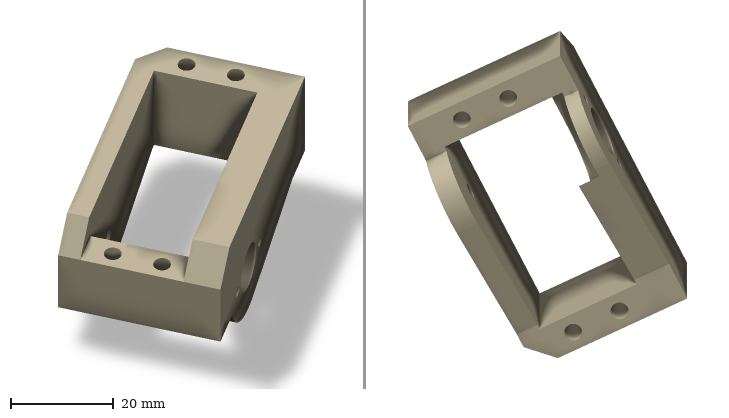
import math
import cadquery as cq


width = 33.0
length = 56.0
frame_height = 20.0
left_wall = 4.5
right_wall = 7.5
end_wall = 7.0
front_chamfer = 6.0
corner_chamfer = 5.0
inner_right = width - right_wall
opening_width = inner_right - left_wall
front_wall_height = frame_height - front_chamfer

screw_diameter = 3.5
screw_spacing = 10.0
first_screw_x = 10.0

ear_radius = 11.05
pivot_z = 3.0
pivot_y = 18.6
ear_rear_y = 48.0
pin_diameter = 3.5

pocket_radius = 11.2
pocket_depth = 4.5
pocket_floor_x = inner_right + pocket_depth
hub_diameter = 10.0
horn_screw_diameter = 2.0
horn_screw_offset = 7.4


def x_cylinder(diameter, start_x, depth, y, z):
    """Cylinder along +X starting at start_x."""
    return cq.Workplane("YZ", origin=(start_x, y, z)).circle(diameter / 2).extrude(depth)


def make_frame():
    """Chamfered rectangular frame with a lowered front end wall."""
    frame = cq.Workplane("XY").box(width, length, frame_height, centered=False)
    frame = frame.edges("<Y and >Z").chamfer(front_chamfer)
    frame = frame.edges("|Z and <X and >Y").chamfer(corner_chamfer)
    opening = cq.Workplane("XY").box(
        opening_width, length - 2 * end_wall, frame_height, centered=False
    ).translate((left_wall, end_wall, 0))
    notch = cq.Workplane("XY").box(
        opening_width, end_wall, front_chamfer, centered=False
    ).translate((left_wall, 0, front_wall_height))
    screw_centers = [
        (first_screw_x + column * screw_spacing, y)
        for column in range(2)
        for y in (end_wall / 2, length - end_wall / 2)
    ]
    screws = (
        cq.Workplane("XY").pushPoints(screw_centers).circle(screw_diameter / 2).extrude(frame_height)
    )
    return frame.cut(opening).cut(notch).cut(screws)


def make_ear(start_x, thickness):
    """Teardrop ear: a straight rear edge tangent to the round about the pivot."""
    rear_distance = ear_rear_y - pivot_y
    slope = math.asin(ear_radius / math.hypot(rear_distance, pivot_z)) - math.atan2(pivot_z, rear_distance)
    tangent_point = (pivot_y + ear_radius * math.sin(slope), pivot_z - ear_radius * math.cos(slope))
    lowest_front = (
        pivot_y - ear_radius * math.sin(math.pi / 4),
        pivot_z - ear_radius * math.cos(math.pi / 4),
    )
    return (
        cq.Workplane("YZ", origin=(start_x, 0, 0))
        .moveTo(ear_rear_y, 0)
        .lineTo(*tangent_point)
        .threePointArc(lowest_front, (pivot_y - ear_radius, pivot_z))
        .lineTo(ear_rear_y, pivot_z)
        .close()
        .extrude(thickness)
    )


def make_pocket():
    """Round pocket about the pivot, open toward the front end wall."""
    round_end = x_cylinder(2 * pocket_radius, inner_right, pocket_depth, pivot_y, pivot_z)
    front_run = cq.Workplane("XY").box(
        pocket_depth, pivot_y - end_wall, 2 * pocket_radius, centered=False
    ).translate((inner_right, end_wall, pivot_z - pocket_radius))
    return round_end.union(front_run)


result = make_frame()
result = result.union(make_ear(0, left_wall))
result = result.union(make_ear(inner_right, right_wall))
result = result.cut(make_pocket())
result = result.cut(x_cylinder(pin_diameter, 0, left_wall, pivot_y, pivot_z))

pocket_floor_thickness = width - pocket_floor_x
result = result.cut(x_cylinder(hub_diameter, pocket_floor_x, pocket_floor_thickness, pivot_y, pivot_z))
for side in (-1, 1):
    horn_screw_y = pivot_y + side * horn_screw_offset
    result = result.cut(
        x_cylinder(horn_screw_diameter, pocket_floor_x, pocket_floor_thickness, horn_screw_y, pivot_z)
    )